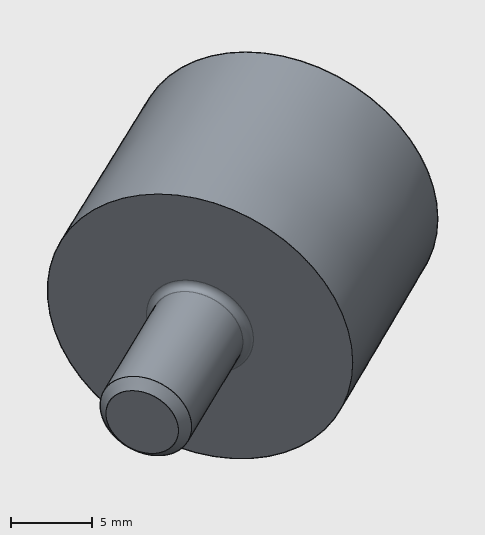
import cadquery as cq

body_diameter = 20.0
back_diameter = 19.8
body_length = 15.0
stud_diameter = 6.0
stud_length = 10.0
tip_chamfer = 0.62
root_fillet = 0.5

body_radius = body_diameter / 2
back_radius = back_diameter / 2
stud_radius = stud_diameter / 2

body = (
    cq.Workplane("XY")
    .lineTo(body_radius, 0)
    .lineTo(back_radius, body_length)
    .lineTo(0, body_length)
    .close()
    .revolve(360, (0, 0), (0, 1))
)

stud = (
    cq.Workplane("XZ")
    .circle(stud_radius)
    .extrude(stud_length)
    .faces("<Y")
    .chamfer(tip_chamfer)
)

stud_root = cq.selectors.BoxSelector(
    (-stud_diameter, -root_fillet / 2, -stud_diameter),
    (stud_diameter, root_fillet / 2, stud_diameter),
    boundingbox=True,
)
result = body.union(stud).edges(stud_root).fillet(root_fillet)